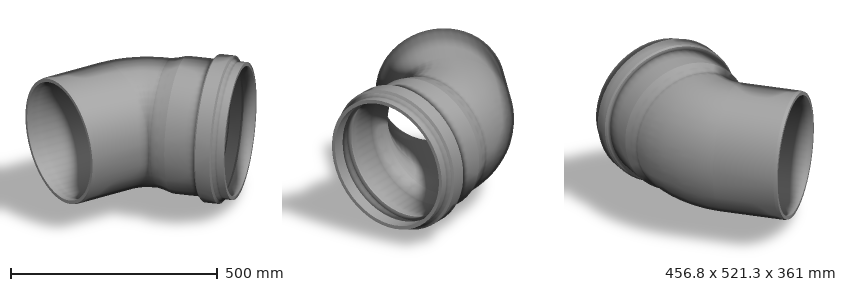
import cadquery as cq
import math


bend_angle = 45
spigot_leg = 222.0
socket_leg = 255.5
bend_radius = 147.0
bend_tangent = bend_radius * math.tan(math.radians(bend_angle / 2))
bend_start = spigot_leg - bend_tangent

pipe_radius = 315.0 / 2
bore_radius = 295.5 / 2
spigot_chamfer_length = 8.0
spigot_chamfer_depth = 1.5

socket_length = socket_leg - bend_tangent
lip_radius = 335.5 / 2
lip_depth = 20.5
body_radius = 335.0 / 2
ring_radius = 361.0 / 2
ring_front_depth = 33.0
ring_front_slope_radius = 174.0
ring_front_slope_depth = 29.0
ring_back_depth = 72.0
ring_back_chamfer = 3.5
taper_start = 148.0
taper_end = 186.5

socket_bore_radius = 317.5 / 2
groove_radius = 343.5 / 2
groove_front_depth = 37.5
groove_front_step_radius = 169.0
groove_slope_end_radius = 163.5
groove_slope_end_depth = 31.0
groove_mouth_front_depth = 30.0
groove_back_depth = 65.5
groove_back_step_radius = 159.5
groove_mouth_back_depth = 69.0
bore_taper_start = 145.0

axis_x = math.sin(math.radians(bend_angle))
axis_y = math.cos(math.radians(bend_angle))
socket_plane = cq.Plane(
    origin=(socket_leg * axis_x, spigot_leg + socket_leg * axis_y, 0),
    xDir=(axis_y, -axis_x, 0),
    normal=(0, 0, -1),
)


def revolve_profile(plane, points):
    """Revolve a (radius, distance) outline about the local Y axis of a plane."""
    return cq.Workplane(plane).polyline(points).close().revolve(360, (0, 0), (0, 1))


def bend_solid(radius):
    """Revolve a disc round the bend, leaving out any part of it beyond the bend axis."""
    reach = min(radius, bend_radius)
    half_chord = math.sqrt(radius**2 - reach**2)
    section = cq.Workplane("XZ", origin=(0, bend_start, 0)).moveTo(reach, -half_chord)
    section = section.threePointArc((-radius, 0), (reach, half_chord)).close()
    return section.revolve(bend_angle, (bend_radius, 0), (bend_radius, -1))


def outer_solid():
    spigot = revolve_profile("XY", [
        (0, 0),
        (pipe_radius - spigot_chamfer_depth, 0),
        (pipe_radius, spigot_chamfer_length),
        (pipe_radius, bend_start),
        (0, bend_start),
    ])
    socket = revolve_profile(socket_plane, [
        (0, 0),
        (lip_radius, 0),
        (lip_radius, lip_depth),
        (ring_front_slope_radius, ring_front_slope_depth),
        (ring_radius, ring_front_depth),
        (ring_radius, ring_back_depth - ring_back_chamfer),
        (ring_radius - ring_back_chamfer, ring_back_depth),
        (body_radius, ring_back_depth),
        (body_radius, taper_start),
        (pipe_radius, taper_end),
        (pipe_radius, socket_length),
        (0, socket_length),
    ])
    return spigot.union(bend_solid(pipe_radius)).union(socket)


def seal_groove():
    """Disc that forms the groove for the seal ring, sloped towards the socket end."""
    return revolve_profile(socket_plane, [
        (0, groove_mouth_front_depth),
        (socket_bore_radius, groove_mouth_front_depth),
        (groove_slope_end_radius, groove_slope_end_depth),
        (groove_front_step_radius, groove_front_depth),
        (groove_radius, groove_front_depth),
        (groove_radius, groove_back_depth),
        (groove_back_step_radius, groove_back_depth),
        (socket_bore_radius, groove_mouth_back_depth),
        (0, groove_mouth_back_depth),
    ])


def bore_solid():
    spigot_bore = cq.Workplane("XZ").circle(bore_radius).extrude(-bend_start)
    socket_bore = revolve_profile(socket_plane, [
        (0, 0),
        (socket_bore_radius, 0),
        (socket_bore_radius, bore_taper_start),
        (bore_radius, taper_end),
        (bore_radius, socket_length),
        (0, socket_length),
    ])
    return spigot_bore.union(bend_solid(bore_radius)).union(socket_bore).union(seal_groove())


result = outer_solid().cut(bore_solid())